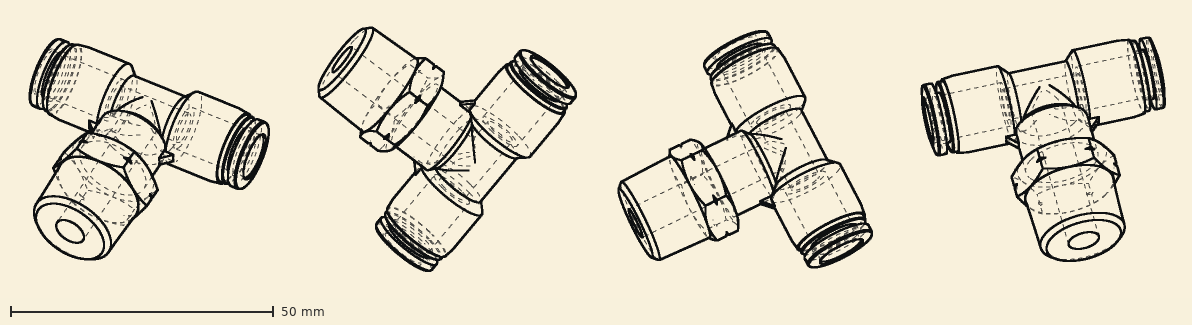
import cadquery as cq
import math


run_half_length = 22.65
pipe_radius = 5.7
pipe_end = 5.6
sleeve_radius = 7.47
sleeve_start = pipe_end + (sleeve_radius - pipe_radius)
taper_start = 16.15
taper_end = 18.25
taper_end_radius = 7.2
collar_radius = 6.9
sleeve_end = 19.4
lip_chamfer = 0.2
neck_radius = 4.85
collar_start = 20.5
collar_chamfer_start = 21.93
collar_face_rim = 22.2
collar_face_radius = 6.75

flow_radius = 3.0
tube_radius = 4.25
mouth_radius = 4.6
mouth_end = 22.3
mouth_end_radius = 4.4
lead_in_end = 21.5

stem_radius = 7.1
stem_start = 6.52
stem_cone_length = 1.22
stem_cone_start = stem_start - stem_cone_length
nut_start = 14.95
nut_width = 17.45
nut_face_radius = nut_width / 2
nut_length = 6.02
nut_bevel_angle = math.radians(30)
nut_notch_depth = 0.5
nut_notch_half_width = 0.25
thread_step = 0.1
thread_radius = nut_face_radius - thread_step
thread_taper = 1 / 16
thread_chamfer = 1.0
branch_length = 32.53

rib_reach = 16.55
rib_thickness = 1.95

nut_end = nut_start + nut_length
nut_corner_radius = nut_face_radius / math.cos(math.radians(30))


def turned_about_x(points):
    """Revolve (distance along X, radius) points about the X axis."""
    return cq.Workplane("XY").polyline(points).close().revolve(360, (0, 0, 0), (1, 0, 0))


def turned_about_branch(points):
    """Revolve (radius, distance along -Y) points about the Y axis."""
    outline = [(radius, -distance) for radius, distance in points]
    return cq.Workplane("XY").polyline(outline).close().revolve(360, (0, 0, 0), (0, 1, 0))


def run_half():
    return turned_about_x([
        (0, 0),
        (0, pipe_radius),
        (pipe_end, pipe_radius),
        (sleeve_start, sleeve_radius),
        (taper_start, sleeve_radius),
        (taper_end, taper_end_radius),
        (taper_end, collar_radius),
        (sleeve_end - lip_chamfer, collar_radius),
        (sleeve_end, collar_radius - lip_chamfer),
        (sleeve_end, neck_radius),
        (collar_start, neck_radius),
        (collar_start, collar_radius),
        (collar_chamfer_start, collar_radius),
        (collar_face_rim, collar_face_radius),
        (run_half_length, mouth_radius),
        (run_half_length, 0),
    ])


def run_bore_half():
    """Flow passage opening into a tube socket with a flared mouth."""
    return turned_about_x([
        (0, 0),
        (0, flow_radius),
        (sleeve_start, flow_radius),
        (sleeve_start, tube_radius),
        (lead_in_end, tube_radius),
        (mouth_end, mouth_end_radius),
        (run_half_length, mouth_radius),
        (run_half_length, 0),
    ])


def both_ends(half):
    return half.union(half.mirror("YZ"))


def stem():
    return turned_about_branch([
        (0, 0),
        (pipe_radius, 0),
        (pipe_radius, stem_cone_start),
        (stem_radius, stem_start),
        (stem_radius, nut_start),
        (0, nut_start),
    ])


def nut():
    """Hexagon with corners on X, bevelled ends and a V notch across each corner."""
    hexagon = (
        cq.Workplane("XZ", origin=(0, -nut_start, 0))
        .polygon(6, 2 * nut_corner_radius)
        .extrude(nut_length)
    )
    bevel_drop = (nut_corner_radius - nut_face_radius) * math.tan(nut_bevel_angle)
    nut_middle = (nut_start + nut_end) / 2
    envelope = turned_about_branch([
        (0, nut_start),
        (nut_face_radius, nut_start),
        (nut_corner_radius, nut_start + bevel_drop),
        (nut_corner_radius, nut_middle - nut_notch_half_width),
        (nut_corner_radius - nut_notch_depth, nut_middle),
        (nut_corner_radius, nut_middle + nut_notch_half_width),
        (nut_corner_radius, nut_end - bevel_drop),
        (nut_face_radius, nut_end),
        (0, nut_end),
    ])
    return hexagon.intersect(envelope)


def thread():
    """Tapered male end with a 45 degree lead chamfer."""
    taper_end_position = branch_length - thread_chamfer
    tip_radius = thread_radius - (taper_end_position - nut_end) * thread_taper / 2
    return turned_about_branch([
        (0, nut_end),
        (thread_radius, nut_end),
        (tip_radius, taper_end_position),
        (tip_radius - thread_chamfer, branch_length),
        (0, branch_length),
    ])


def ribs():
    """Flat triangle whose sloping sides bridge the run and stem corners."""
    return (
        cq.Workplane("XY")
        .polyline([(-rib_reach, 0), (rib_reach, 0), (0, -rib_reach)])
        .close()
        .extrude(rib_thickness / 2, both=True)
    )


def branch_bore():
    return cq.Workplane("XZ").circle(flow_radius).extrude(branch_length)


result = (
    both_ends(run_half())
    .union(ribs())
    .union(stem())
    .union(nut())
    .union(thread())
    .cut(both_ends(run_bore_half()))
    .cut(branch_bore())
)